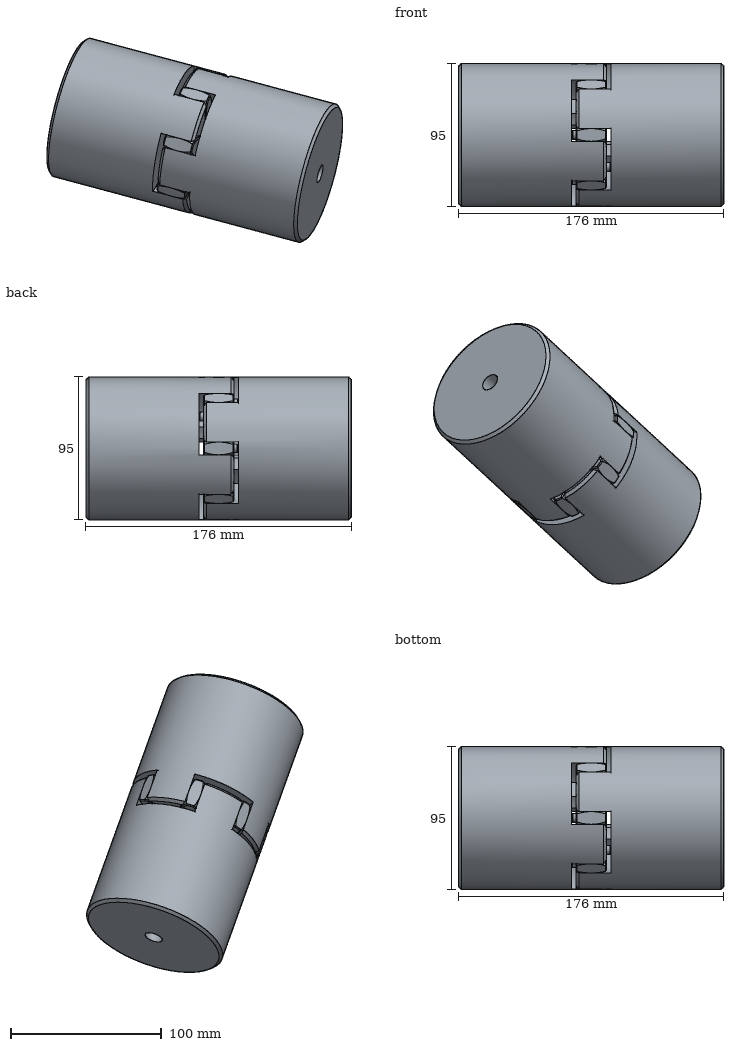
import cadquery as cq
import math

length = 176.0
outer_diameter = 95.0
hub_gap = 26.0
spider_width = 20.0
bore_diameter = 12.0
rim_chamfer = 2.0
jaw_chamfer = 2.0
jaw_overreach = 5.3

jaws_per_hub = 4
jaw_inner_radius = 27.3
leg_outer_half = 4.2
leg_inner_half = 6.5
flank_radius = 25.0
leg_crown = 1.4
leg_chamfer = 0.7
spider_bore_radius = 23.0

stud_diameter = 6.0
stud_height = 2.3
stud_circle_radius = 30.0

outer_radius = outer_diameter / 2
hub_face = hub_gap / 2
spider_face = spider_width / 2
jaw_pitch = 360 / jaws_per_hub
leg_count = 2 * jaws_per_hub
leg_pitch = 360 / leg_count

inner_end = (math.sqrt(jaw_inner_radius**2 - leg_inner_half**2), leg_inner_half)
outer_end = (math.sqrt(outer_radius**2 - leg_outer_half**2), leg_outer_half)
chord_y = outer_end[0] - inner_end[0]
chord_z = outer_end[1] - inner_end[1]
chord = math.hypot(chord_y, chord_z)
centre_distance = math.sqrt(flank_radius**2 - (chord / 2)**2)
flank_centre_y = (inner_end[0] + outer_end[0]) / 2 + centre_distance * chord_z / chord
flank_centre_z = (inner_end[1] + outer_end[1]) / 2 - centre_distance * chord_y / chord
flank_crest = (flank_centre_y, flank_centre_z + flank_radius)


def turn(point, angle):
    """Rotate a (y, z) point about the coupling axis by an angle in degrees."""
    c = math.cos(math.radians(angle))
    s = math.sin(math.radians(angle))
    return (point[0] * c - point[1] * s, point[0] * s + point[1] * c)


def axial_cylinder(start, end, radius):
    return cq.Workplane("YZ", origin=(start, 0, 0)).circle(radius).extrude(end - start)


def jaw(angle):
    """One jaw of the left hub, between the legs at angle and at angle + leg_pitch.

    It reaches past the outer diameter, and the hub blank trims it.
    """
    middle = angle + leg_pitch / 2
    next_leg = angle + leg_pitch

    def mirrored(point):
        return turn((point[0], -point[1]), next_leg)

    overreach_point = (outer_end[0] + jaw_overreach, outer_end[1])

    return (
        cq.Workplane("YZ", origin=(-hub_face, 0, 0))
        .moveTo(*turn(inner_end, angle))
        .threePointArc(turn(flank_crest, angle), turn(outer_end, angle))
        .lineTo(*turn(overreach_point, angle))
        .lineTo(*mirrored(overreach_point))
        .lineTo(*mirrored(outer_end))
        .threePointArc(mirrored(flank_crest), mirrored(inner_end))
        .threePointArc(turn((jaw_inner_radius, 0), middle), turn(inner_end, angle))
        .close()
        .extrude(hub_face + spider_face)
    )


def build_left_hub():
    blank = axial_cylinder(-length / 2, spider_face, outer_radius)
    blank = blank.faces("<X").chamfer(rim_chamfer).faces(">X").chamfer(jaw_chamfer)
    outline = axial_cylinder(-length / 2, -hub_face, outer_radius + jaw_overreach)
    for i in range(jaws_per_hub):
        outline = outline.union(jaw(i * jaw_pitch))
    bore = axial_cylinder(-length / 2, -hub_face, bore_diameter / 2)
    return blank.intersect(outline).cut(bore)


def crowned_barrel(side):
    """Barrel about the arc centre of one flank; side is +1 for the +Z flank, -1 for the other."""
    end_radius = flank_radius - leg_crown
    return (
        cq.Workplane("XY")
        .moveTo(-spider_face, 0)
        .lineTo(-spider_face, end_radius)
        .threePointArc((0, flank_radius), (spider_face, end_radius))
        .lineTo(spider_face, 0)
        .close()
        .revolve(360, (0, 0, 0), (1, 0, 0))
        .faces("<X or >X")
        .chamfer(leg_chamfer)
        .translate((0, flank_centre_y, side * flank_centre_z))
    )


def build_leg():
    leg = crowned_barrel(1).intersect(crowned_barrel(-1))
    leg_envelope = axial_cylinder(-spider_face, spider_face, outer_radius)
    return leg.intersect(leg_envelope.faces("<X or >X").chamfer(leg_chamfer))


def stud(index):
    """Stud on one leg: even legs carry it on the left face, odd legs on the right."""
    direction = -1 if index % 2 == 0 else 1
    y, z = turn((stud_circle_radius, 0), index * leg_pitch)
    return (
        cq.Workplane("YZ")
        .center(y, z)
        .circle(stud_diameter / 2)
        .extrude(direction * (spider_face + stud_height))
    )


def build_spider():
    leg = build_leg()
    spider = axial_cylinder(-spider_face, spider_face, jaw_inner_radius)
    for i in range(leg_count):
        spider = spider.union(leg.rotate((0, 0, 0), (1, 0, 0), i * leg_pitch))
    spider = spider.cut(axial_cylinder(-spider_face, spider_face, spider_bore_radius))
    for i in range(leg_count):
        spider = spider.union(stud(i))
    return spider


left_hub = build_left_hub()
right_hub = left_hub.rotate((0, 0, 0), (0, 1, 0), 180)
spider = build_spider()

result = cq.Compound.makeCompound([body.solids().val() for body in (left_hub, right_hub, spider)])